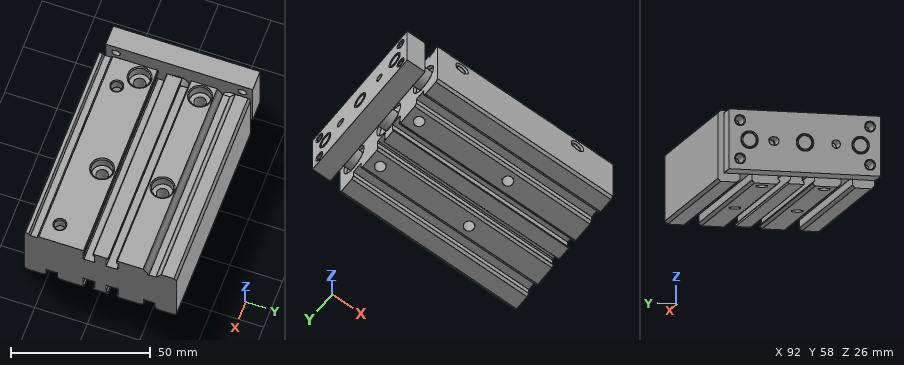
import cadquery as cq
import math

TOTAL_LENGTH = 92.0
PLATE_LENGTH = 8.0
ROD_GAP = 5.0
HOUSING_FRONT = PLATE_LENGTH + ROD_GAP
HOUSING_LENGTH = TOTAL_LENGTH - HOUSING_FRONT

HALF_WIDTH = 29.0
HALF_HEIGHT = 26.0 / 2
EDGE_CHAMFER = 1.0
TOP_EDGE_CHAMFER = 0.5

RIB_HALF_WIDTH = 2.85
RIB_NECK_HALF_WIDTH = 2.2
RIB_DROP = 0.4
SLOT_OUTER = 6.1
SLOT_UNDERCUT_OUTER = 6.7
SLOT_LIP = 1.2
SLOT_DEPTH = 6.0
SLOT_FLOOR_CHAMFER = 0.5
SLOT_TOP_CHAMFER = 0.4
SLOT_BOTTOM_CHAMFER = 0.9

GROOVE_TOP_OUTER = 23.2
GROOVE_TOP_INNER = 16.3
GROOVE_FLOOR_OUTER = 21.1
GROOVE_FLOOR_INNER = 18.5
GROOVE_DEPTH = 2.9
GROOVE_CORNER = 0.4

NOTCH_INNER = 23.5
NOTCH_OUTER = 27.2
NOTCH_SIDE_RUN = 0.6
NOTCH_DEPTH = 1.0

BOTTOM_GROOVE_CENTER = 18.6
BOTTOM_GROOVE_WIDTH = 4.3
BOTTOM_GROOVE_DEPTH = 4.0
BOTTOM_GROOVE_CHAMFER = 1.0

MOUNT_FIRST_X = HOUSING_FRONT + 5.0
MOUNT_SPACING = 40.0
MOUNT_Y = 11.5
MOUNT_DIAMETER = 4.5
MOUNT_THREAD_DIAMETER = 4.1
MOUNT_BORE_DIAMETER = 8.0
MOUNT_BORE_DEPTH = 4.5
MOUNT_BORE_CHAMFER = 0.5

PORT_DIAMETER = 4.1
FRONT_PORT_X = HOUSING_FRONT + 11.0
SIDE_PORT_SPACING = 52.0
SIDE_PORT_Z = 8.0
SIDE_PORT_DEPTH = 0.8
SIDE_PORT_MOUTH = 5.5
TOP_PORT_SPACING = 60.6
TOP_PORT_Y = -18.0
TOP_PORT_DEPTH = 4.5
TOP_PORT_MOUTH = 5.0
DRILL_POINT_ANGLE = 118.0

ROD_DIAMETER = 8.0
GUIDE_ROD_Y = 20.5
GUIDE_RECESS_DIAMETER = 11.9
PISTON_RECESS_DIAMETER = 14.0
RECESS_DEPTH = 1.3
RODS = (
    (-GUIDE_ROD_Y, GUIDE_RECESS_DIAMETER),
    (0, PISTON_RECESS_DIAMETER),
    (GUIDE_ROD_Y, GUIDE_RECESS_DIAMETER),
)

PLATE_WIDTH = 56.0
PLATE_HEIGHT = 22.0
CORNER_HOLE_Y = 24.0
CORNER_HOLE_Z = 7.0
CORNER_HOLE_DIAMETER = 3.2
CORNER_HOLE_MOUTH = 4.0
PIN_DIAMETER = 3.0
PIN_Y = 11.5
PIN_DEPTH = 6.0
PIN_SLOT_LENGTH = 3.7
RING_OUTER_DIAMETER = 6.4
RING_INNER_DIAMETER = 5.0
RING_DEPTH = 0.4

DOWN = cq.Vector(0, 0, -1)
INTO_SIDE = cq.Vector(0, 1, 0)
BACKWARD = cq.Vector(1, 0, 0)


def cylinder(diameter, depth, point, direction):
    """Solid cylinder starting at a point and running along a direction."""
    return cq.Workplane(obj=cq.Solid.makeCylinder(diameter / 2, depth, cq.Vector(*point), direction))


def mouth_cone(mouth_diameter, hole_diameter, point, direction):
    """45-degree chamfer at the mouth of a hole."""
    depth = (mouth_diameter - hole_diameter) / 2
    cone = cq.Solid.makeCone(mouth_diameter / 2, hole_diameter / 2, depth, cq.Vector(*point), direction)
    return cq.Workplane(obj=cone)


def drill_point(diameter, depth, point, direction):
    """Conical tip at the bottom of a drilled hole."""
    height = diameter / 2 / math.tan(math.radians(DRILL_POINT_ANGLE / 2))
    base = cq.Vector(*point) + direction * depth
    return cq.Workplane(obj=cq.Solid.makeCone(diameter / 2, 0, height, base, direction))


def housing_prism(points):
    """Closed (Y, Z) outline extruded along the whole housing."""
    return cq.Workplane("YZ", origin=(HOUSING_FRONT, 0, 0)).polyline(points).close().extrude(HOUSING_LENGTH)


def mirrored(points):
    return [(-y, z) for y, z in points]


def housing_blank():
    side, top = HALF_WIDTH, HALF_HEIGHT
    return housing_prism([
        (-side, top - TOP_EDGE_CHAMFER),
        (-side + TOP_EDGE_CHAMFER, top),
        (side - EDGE_CHAMFER, top),
        (side, top - EDGE_CHAMFER),
        (side, -top + EDGE_CHAMFER),
        (side - EDGE_CHAMFER, -top),
        (-side + EDGE_CHAMFER, -top),
        (-side, -top + EDGE_CHAMFER),
    ])


def undercut_slot_points(face_sign, mouth_chamfer):
    """Slot beside the rib on its +Y side; face_sign is +1 for the top face and -1 for the bottom."""
    undercut = SLOT_UNDERCUT_OUTER - SLOT_OUTER
    neck_run = RIB_HALF_WIDTH - RIB_NECK_HALF_WIDTH
    depths = [
        (0, 0),
        (SLOT_OUTER + mouth_chamfer, 0),
        (SLOT_OUTER, mouth_chamfer),
        (SLOT_OUTER, SLOT_LIP),
        (SLOT_UNDERCUT_OUTER, SLOT_LIP + undercut),
        (SLOT_UNDERCUT_OUTER, SLOT_DEPTH - SLOT_FLOOR_CHAMFER),
        (SLOT_UNDERCUT_OUTER - SLOT_FLOOR_CHAMFER, SLOT_DEPTH),
        (RIB_NECK_HALF_WIDTH, SLOT_DEPTH),
        (RIB_NECK_HALF_WIDTH, SLOT_LIP + neck_run),
        (RIB_HALF_WIDTH, SLOT_LIP),
        (RIB_HALF_WIDTH, RIB_DROP),
        (0, RIB_DROP),
    ]
    return [(y, face_sign * (HALF_HEIGHT - depth)) for y, depth in depths]


def cut_undercut_slots(body):
    for face_sign, mouth_chamfer in ((1, SLOT_TOP_CHAMFER), (-1, SLOT_BOTTOM_CHAMFER)):
        points = undercut_slot_points(face_sign, mouth_chamfer)
        body = body.cut(housing_prism(points)).cut(housing_prism(mirrored(points)))
    return body


def cut_top_grooves(body):
    top = HALF_HEIGHT
    floor = top - GROOVE_DEPTH
    wide_groove = housing_prism([
        (GROOVE_TOP_OUTER, top),
        (GROOVE_TOP_OUTER - GROOVE_CORNER, top - GROOVE_CORNER),
        (GROOVE_FLOOR_OUTER + GROOVE_CORNER, floor + GROOVE_CORNER),
        (GROOVE_FLOOR_OUTER, floor),
        (GROOVE_FLOOR_INNER, floor),
        (GROOVE_FLOOR_INNER - GROOVE_CORNER, floor + GROOVE_CORNER),
        (GROOVE_TOP_INNER + GROOVE_CORNER, top - GROOVE_CORNER),
        (GROOVE_TOP_INNER, top),
    ])
    label_groove = housing_prism([
        (-NOTCH_INNER, top),
        (-NOTCH_INNER - NOTCH_SIDE_RUN, top - NOTCH_DEPTH),
        (-NOTCH_OUTER + NOTCH_SIDE_RUN, top - NOTCH_DEPTH),
        (-NOTCH_OUTER, top),
    ])
    return body.cut(wide_groove).cut(label_groove)


def cut_bottom_grooves(body):
    inner = BOTTOM_GROOVE_CENTER - BOTTOM_GROOVE_WIDTH / 2
    outer = BOTTOM_GROOVE_CENTER + BOTTOM_GROOVE_WIDTH / 2
    bottom = -HALF_HEIGHT
    points = [
        (inner - BOTTOM_GROOVE_CHAMFER, bottom),
        (inner, bottom + BOTTOM_GROOVE_CHAMFER),
        (inner, bottom + BOTTOM_GROOVE_DEPTH),
        (outer, bottom + BOTTOM_GROOVE_DEPTH),
        (outer, bottom + BOTTOM_GROOVE_CHAMFER),
        (outer + BOTTOM_GROOVE_CHAMFER, bottom),
    ]
    return body.cut(housing_prism(points)).cut(housing_prism(mirrored(points)))


def cut_mounting_holes(body):
    mouth_diameter = MOUNT_BORE_DIAMETER + 2 * MOUNT_BORE_CHAMFER
    for x in (MOUNT_FIRST_X, MOUNT_FIRST_X + MOUNT_SPACING):
        for y in (-MOUNT_Y, MOUNT_Y):
            point = (x, y, HALF_HEIGHT)
            body = body.cut(cylinder(MOUNT_THREAD_DIAMETER, 2 * HALF_HEIGHT, point, DOWN))
            body = body.cut(cylinder(MOUNT_DIAMETER, HALF_HEIGHT, point, DOWN))
            body = body.cut(cylinder(MOUNT_BORE_DIAMETER, MOUNT_BORE_DEPTH, point, DOWN))
            body = body.cut(mouth_cone(mouth_diameter, MOUNT_BORE_DIAMETER, point, DOWN))
    return body


def cut_ports(body):
    for x in (FRONT_PORT_X, FRONT_PORT_X + TOP_PORT_SPACING):
        point = (x, TOP_PORT_Y, HALF_HEIGHT)
        body = body.cut(cylinder(PORT_DIAMETER, TOP_PORT_DEPTH, point, DOWN))
        body = body.cut(drill_point(PORT_DIAMETER, TOP_PORT_DEPTH, point, DOWN))
        body = body.cut(mouth_cone(TOP_PORT_MOUTH, PORT_DIAMETER, point, DOWN))
    for x in (FRONT_PORT_X, FRONT_PORT_X + SIDE_PORT_SPACING):
        point = (x, -HALF_WIDTH, SIDE_PORT_Z)
        body = body.cut(cylinder(PORT_DIAMETER, SIDE_PORT_DEPTH, point, INTO_SIDE))
        body = body.cut(mouth_cone(SIDE_PORT_MOUTH, PORT_DIAMETER, point, INTO_SIDE))
    return body


def cut_rod_recesses(body):
    for y, recess_diameter in RODS:
        body = body.cut(cylinder(recess_diameter, RECESS_DEPTH, (HOUSING_FRONT, y, 0), BACKWARD))
    return body


def make_housing():
    body = housing_blank()
    body = cut_undercut_slots(body)
    body = cut_top_grooves(body)
    body = cut_bottom_grooves(body)
    body = cut_mounting_holes(body)
    body = cut_ports(body)
    return cut_rod_recesses(body)


def add_rods(body):
    """Rods run from inside the plate to the floors of the housing recesses."""
    start_x = PLATE_LENGTH / 2
    length = HOUSING_FRONT + RECESS_DEPTH - start_x
    for y, _ in RODS:
        body = body.union(cylinder(ROD_DIAMETER, length, (start_x, y, 0), BACKWARD))
    return body


def cut_corner_holes(body):
    for y in (-CORNER_HOLE_Y, CORNER_HOLE_Y):
        for z in (-CORNER_HOLE_Z, CORNER_HOLE_Z):
            point = (0, y, z)
            body = body.cut(cylinder(CORNER_HOLE_DIAMETER, PLATE_LENGTH, point, BACKWARD))
            body = body.cut(mouth_cone(CORNER_HOLE_MOUTH, CORNER_HOLE_DIAMETER, point, BACKWARD))
    return body


def cut_pin_holes(body):
    """Round locating hole on the -Y side and a drilled locating slot on the +Y side."""
    body = body.cut(cylinder(PIN_DIAMETER, PIN_DEPTH, (0, -PIN_Y, 0), BACKWARD))
    slot = cq.Workplane("YZ").center(PIN_Y, 0).slot2D(PIN_SLOT_LENGTH, PIN_DIAMETER).extrude(PIN_DEPTH)
    return body.cut(slot).cut(drill_point(PIN_DIAMETER, PIN_DEPTH, (0, PIN_Y, 0), BACKWARD))


def cut_rod_rings(body):
    """V-shaped ring groove in the plate face around each rod axis."""
    inner = RING_INNER_DIAMETER / 2
    outer = RING_OUTER_DIAMETER / 2
    profile = [(0, inner), (RING_DEPTH, (inner + outer) / 2), (0, outer)]
    for y, _ in RODS:
        ring = cq.Workplane("XY", origin=(0, y, 0)).polyline(profile).close()
        body = body.cut(ring.revolve(360, (0, 0, 0), (1, 0, 0)))
    return body


def make_slider():
    body = cq.Workplane("XY").box(PLATE_LENGTH, PLATE_WIDTH, PLATE_HEIGHT, centered=(False, True, True))
    body = add_rods(body)
    body = cut_corner_holes(body)
    body = cut_pin_holes(body)
    return cut_rod_rings(body)


housing = make_housing()
slider = make_slider()
result = cq.Compound.makeCompound([housing.solids().val(), slider.solids().val()])